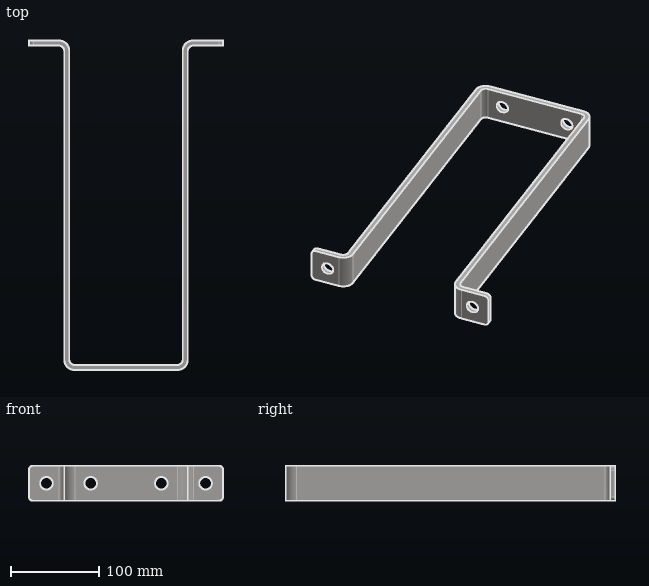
import cadquery as cq

strip_width = 40.0
thickness = 6.0
overall_length = 373.0
overall_span = 220.0
channel_width = 140.0
inner_bend_radius = 6.0
ear_corner_radius = 5.0
hole_diameter = 14.0
ear_hole_offset = 90.0
web_hole_offset = 40.0

outer_bend_radius = inner_bend_radius + thickness
half_span = overall_span / 2
leg_outer_x = channel_width / 2
leg_inner_x = leg_outer_x - thickness
ear_front_y = overall_length - thickness


def bent_strip():
    """Open channel with an ear turned outward at the end of each leg."""
    sharp = (
        cq.Workplane("XY")
        .workplane(offset=-strip_width / 2)
        .moveTo(-half_span, overall_length)
        .lineTo(-leg_inner_x, overall_length)
        .lineTo(-leg_inner_x, thickness)
        .lineTo(leg_inner_x, thickness)
        .lineTo(leg_inner_x, overall_length)
        .lineTo(half_span, overall_length)
        .lineTo(half_span, ear_front_y)
        .lineTo(leg_outer_x, ear_front_y)
        .lineTo(leg_outer_x, 0)
        .lineTo(-leg_outer_x, 0)
        .lineTo(-leg_outer_x, ear_front_y)
        .lineTo(-half_span, ear_front_y)
        .close()
        .extrude(strip_width)
    )
    outside_of_bends = [(leg_outer_x, 0), (leg_inner_x, overall_length)]
    inside_of_bends = [(leg_inner_x, thickness), (leg_outer_x, ear_front_y)]
    rounded = round_bends(sharp, outside_of_bends, outer_bend_radius)
    return round_bends(rounded, inside_of_bends, inner_bend_radius)


def round_bends(body, corners, radius):
    """Round the upright edges at the given XY corners and their mirror images."""
    for x, y in corners:
        for side in (-1, 1):
            edge = cq.selectors.NearestToPointSelector((side * x, y, 0))
            body = body.edges("|Z").edges(edge).fillet(radius)
    return body


def round_ear_corners(body):
    """Round the two free corners of each ear."""
    return body.faces("<X or >X").edges("|Y").fillet(ear_corner_radius)


def drill_holes(body):
    """Drill one hole through each ear and two through the web."""
    rows = [(ear_hole_offset, ear_front_y), (web_hole_offset, 0)]
    for offset, front_y in rows:
        drills = (
            cq.Workplane("XZ", origin=(0, front_y, 0))
            .pushPoints([(-offset, 0), (offset, 0)])
            .circle(hole_diameter / 2)
            .extrude(-thickness)
        )
        body = body.cut(drills)
    return body


result = drill_holes(round_ear_corners(bent_strip()))